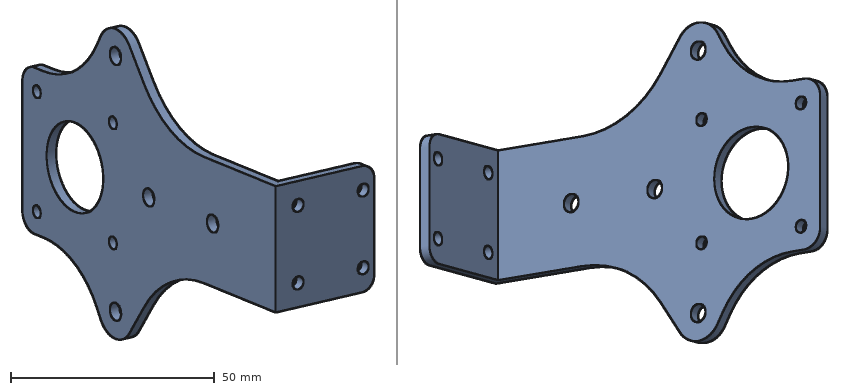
import cadquery as cq
import math

length = 103.2
thickness = 3.0
flange_depth = 30.3
arm_width = 32.6
flange_corner_radius = 3.8

motor_width = 42.9
motor_corner_radius = 5.0
motor_x = 21.5
bore_diameter = 23.0
motor_hole_spacing = 31.0
motor_hole_diameter = 3.2

overall_height = 80.0
ear_x = 38.0
ear_radius = 7.0
motor_sweep_start_x = 8.8
motor_sweep_radius = 25.0
arm_sweep_end_x = 74.0
arm_sweep_radius = 30.0
ear_hole_diameter = 4.5

arm_hole_positions = (51.5, 77.5)
arm_hole_diameter = 4.5

flange_hole_diameter = 3.3
flange_hole_spacing = 20.0
flange_hole_edge = 3.4

ear_z = overall_height / 2 - ear_radius
motor_half = motor_width / 2
arm_half = arm_width / 2
motor_sweep_center = (motor_sweep_start_x, motor_half + motor_sweep_radius)
arm_sweep_center = (arm_sweep_end_x, arm_half + arm_sweep_radius)


def point_on_circle(center, radius, angle):
    return (center[0] + radius * math.cos(angle), center[1] + radius * math.sin(angle))


def ear_normal_angle(sweep_center, sweep_radius, turn):
    """Direction of the normal to the straight edge tangent to both ear and sweep."""
    dx = sweep_center[0] - ear_x
    dz = sweep_center[1] - ear_z
    tilt = math.acos((ear_radius + sweep_radius) / math.hypot(dx, dz))
    return math.atan2(dz, dx) + turn * tilt


def half_plate():
    """Upper half of the face plate, down to the centerline."""
    ear_center = (ear_x, ear_z)
    motor_normal = ear_normal_angle(motor_sweep_center, motor_sweep_radius, -1)
    arm_normal = ear_normal_angle(arm_sweep_center, arm_sweep_radius, 1)
    lowest = -math.pi / 2
    motor_sweep_end = motor_normal - math.pi
    motor_sweep_mid = (lowest + motor_sweep_end) / 2
    arm_sweep_start = arm_normal - math.pi
    arm_sweep_mid = (lowest + arm_sweep_start) / 2
    corner_center = (motor_corner_radius, motor_half - motor_corner_radius)

    return (
        cq.Workplane("XZ")
        .moveTo(0, 0)
        .lineTo(0, corner_center[1])
        .threePointArc(
            point_on_circle(corner_center, motor_corner_radius, 3 * math.pi / 4),
            (motor_corner_radius, motor_half),
        )
        .lineTo(motor_sweep_start_x, motor_half)
        .threePointArc(
            point_on_circle(motor_sweep_center, motor_sweep_radius, motor_sweep_mid),
            point_on_circle(motor_sweep_center, motor_sweep_radius, motor_sweep_end),
        )
        .lineTo(*point_on_circle(ear_center, ear_radius, motor_normal))
        .threePointArc(
            (ear_x, overall_height / 2),
            point_on_circle(ear_center, ear_radius, arm_normal),
        )
        .lineTo(*point_on_circle(arm_sweep_center, arm_sweep_radius, arm_sweep_start))
        .threePointArc(
            point_on_circle(arm_sweep_center, arm_sweep_radius, arm_sweep_mid),
            (arm_sweep_end_x, arm_half),
        )
        .lineTo(length, arm_half)
        .lineTo(length, 0)
        .close()
        .extrude(-thickness)
    )


def flange():
    """Plate turned back along +Y at the end of the arm."""
    return (
        cq.Workplane("XY")
        .box(thickness, flange_depth, arm_width, centered=(False, False, True))
        .translate((length - thickness, 0, 0))
        .edges("|X and >Y")
        .fillet(flange_corner_radius)
    )


def face_holes(points, diameter):
    """Cutters through the face plate only."""
    return cq.Workplane("XZ").pushPoints(points).circle(diameter / 2).extrude(-thickness)


def flange_holes():
    """Square pattern of cutters through the flange."""
    far_y = flange_depth - flange_hole_edge
    points = [
        (y, side * flange_hole_spacing / 2)
        for y in (far_y, far_y - flange_hole_spacing)
        for side in (-1, 1)
    ]
    return (
        cq.Workplane("YZ", origin=(length - thickness, 0, 0))
        .pushPoints(points)
        .circle(flange_hole_diameter / 2)
        .extrude(thickness)
    )


motor_hole_offset = motor_hole_spacing / 2
motor_hole_points = [
    (motor_x + x_side * motor_hole_offset, z_side * motor_hole_offset)
    for x_side in (-1, 1)
    for z_side in (-1, 1)
]
ear_hole_points = [(ear_x, -ear_z), (ear_x, ear_z)]
arm_hole_points = [(x, 0) for x in arm_hole_positions]

upper_half = half_plate()
result = upper_half.union(upper_half.mirror("XY")).union(flange()).clean()
result = result.cut(face_holes([(motor_x, 0)], bore_diameter))
result = result.cut(face_holes(motor_hole_points, motor_hole_diameter))
result = result.cut(face_holes(ear_hole_points, ear_hole_diameter))
result = result.cut(face_holes(arm_hole_points, arm_hole_diameter))
result = result.cut(flange_holes())